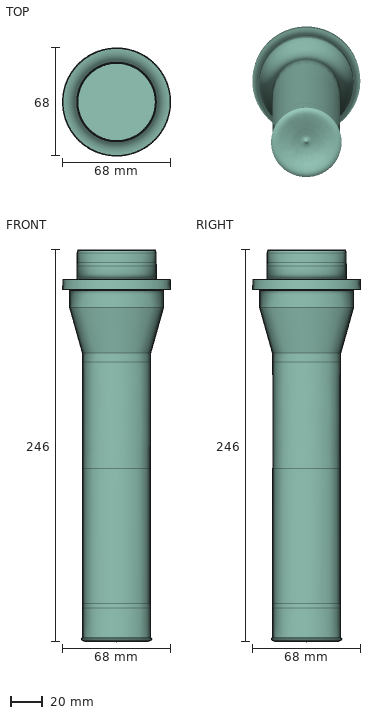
import cadquery as cq

total_height = 246.0
flange_diameter = 68.0
flange_top_diameter = 67.5
collar_diameter = 59.0
plug_diameter = 50.0
plug_tip_diameter = 49.7
barrel_diameter = 42.8
grip_diameter = 42.5
rim_diameter = 44.3

flange_top = 227.5
flange_thickness = 6.5
flange_base = flange_top - flange_thickness
plug_taper_base = 236.1
plug_taper_top = 238.0
plug_chamfer_height = 2.0
plug_chamfer_width = 0.5

collar_chamfer = 0.5
collar_base = 210.0
cone_base = 184.0
cone_base_diameter = 44.3
throat_base = 181.3
neck_base = 175.9

grip_top = 108.7
grip_base = 24.0
tail_top = 21.2
rim_top = 1.7
rim_base = 1.0
tail_base = 2.5
dome_edge_diameter = 35.5
dome_edge_height = 0.5


def revolve_profile(profile):
    """Revolve a closed radius-height outline around the Z axis."""
    return profile.close().revolve(360, (0, 0, 0), (0, 1, 0))


def make_cap():
    """Slightly tapered flange with a slightly tapered, chamfered plug on top."""
    plug_tip_radius = plug_tip_diameter / 2
    profile = (
        cq.Workplane("XZ")
        .moveTo(0, flange_base)
        .lineTo(flange_diameter / 2, flange_base)
        .lineTo(flange_top_diameter / 2, flange_top)
        .lineTo(plug_diameter / 2, flange_top)
        .lineTo(plug_diameter / 2, plug_taper_base)
        .lineTo(plug_tip_radius, plug_taper_top)
        .lineTo(plug_tip_radius, total_height - plug_chamfer_height)
        .lineTo(plug_tip_radius - plug_chamfer_width, total_height)
        .lineTo(0, total_height)
    )
    return revolve_profile(profile)


def make_barrel():
    """Flared head, long barrel and a domed tail with a flared rim."""
    collar_radius = collar_diameter / 2
    barrel_radius = barrel_diameter / 2
    grip_radius = grip_diameter / 2
    cone_base_radius = cone_base_diameter / 2
    rim_radius = rim_diameter / 2

    flare_points = [
        ((collar_radius + cone_base_radius) / 2, (collar_base + cone_base) / 2),
        (cone_base_radius, cone_base),
        (barrel_radius, throat_base),
    ]

    tail_points = [
        (rim_radius, rim_top),
        (barrel_radius, rim_base),
        (dome_edge_diameter / 2, dome_edge_height),
        (0, 0),
    ]

    profile = (
        cq.Workplane("XZ")
        .moveTo(0, flange_base)
        .lineTo(collar_radius - collar_chamfer, flange_base)
        .lineTo(collar_radius, flange_base - collar_chamfer)
        .lineTo(collar_radius, collar_base)
        .spline(flare_points, includeCurrent=True)
        .lineTo(barrel_radius, neck_base)
        .lineTo(grip_radius, grip_top)
        .lineTo(grip_radius, grip_base)
        .lineTo(barrel_radius, tail_top)
        .lineTo(barrel_radius, tail_base)
        .spline(tail_points, includeCurrent=True)
    )
    return revolve_profile(profile)


cap = make_cap()
barrel = make_barrel()
result = cq.Compound.makeCompound([cap.val(), barrel.val()])